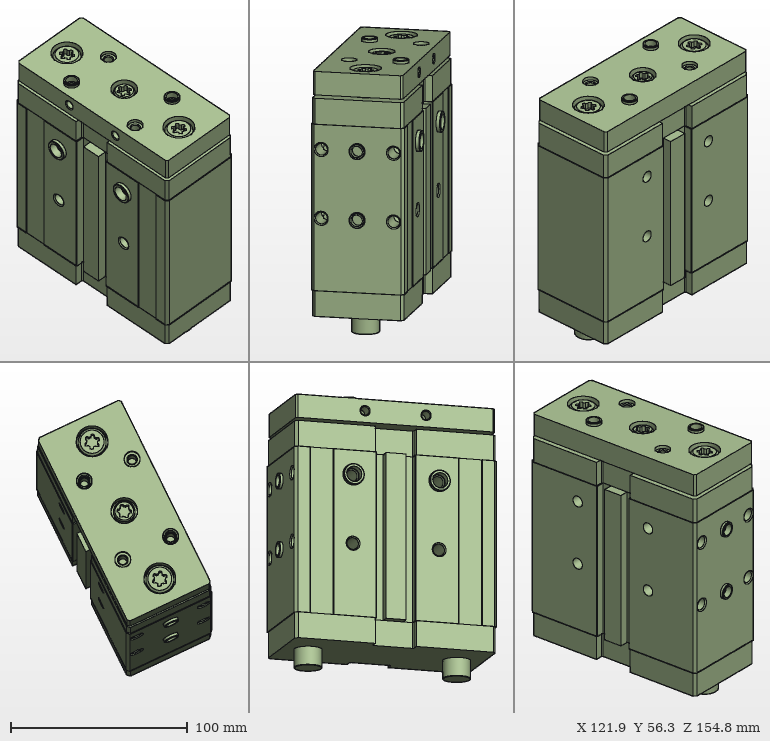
import cadquery as cq
import math


rod_overhang = 10.8
cap_height = 15.0
profile_height = 96.6
plate_gap = 1.9
plate_height = 13.6

profile_bottom = rod_overhang + cap_height
profile_top = profile_bottom + profile_height
cap_top = profile_top + cap_height
plate_bottom = cap_top + plate_gap
plate_top = plate_bottom + plate_height

profile_length = 120.0
profile_width = 54.0
profile_chamfer = 1.7
side_step = 0.5
cap_length = profile_length - 2 * side_step
cap_width = profile_width - 2 * side_step
plate_length = cap_length - 2 * side_step
plate_width = cap_width - 2 * side_step
plate_chamfer = 1.2

groove_width = 22.9
groove_depth = 5.5
profile_lip = 0.5
cap_groove_corner = 0.8
rib_width = 11.8

panel_width = 14.2
panel_depth = 0.5
panel_offset = 44.1
panel_slope = 0.5

guide_diameter = 16.0
guide_offset = 44.1
guide_y = -1.1
guide_chamfer = 0.3
piston_diameter = 12.0

screw_sink = 1.1
head_height = 5.0
counterbore_depth = screw_sink + head_height
socket_depth = 3.7
socket_core = 6.2
socket_lobe = 2.0
socket_lobes = 6
guide_counterbore = 18.0
guide_head = 16.0
guide_head_edge = 1.2
guide_socket = 8.8
piston_counterbore = 15.0
piston_head = 12.0
piston_head_edge = 0.8
piston_socket = 8.2

thread_core = 6.8
thread_mouth = 8.2
drill_point = 118
hole_pitch = 40.0
upper_row = 108.0
hole_rows = (upper_row - hole_pitch, upper_row)

cross_hole_offset = 25.5
side_hole_offset = 21.0
side_hole_depth = 15.0
air_channel_diameter = 4.3

plate_hole_x = 25.1
plate_hole_span = 30.0
plate_hole_y = -2.0
plate_core = 5.0
plate_mouth = 6.0
plate_hole_depth = 10.0
edge_hole_offset = 18.1
edge_hole_depth = 9.0

small_sleeve_diameter = 9.0
small_sleeve_bore = 6.7
small_sleeve_stand = 1.9
small_sleeve_sink = 2.0
large_sleeve_diameter = 12.0
large_sleeve_bore = 8.8
large_sleeve_stand = 2.3
large_sleeve_sink = 2.5
sleeve_chamfer = 0.3

left_face = -profile_length / 2
front_face = -profile_width / 2
groove_floor = front_face + groove_depth


def block(length, width, bottom, height, chamfer):
    """Box centred on the Z axis with chamfered upright corners."""
    box = cq.Workplane("XY", origin=(0, 0, bottom)).rect(length, width).extrude(height)
    return box.edges("|Z").chamfer(chamfer)


def cylinder(diameter, point, direction, length):
    """Cylinder that starts at a point and runs along a direction."""
    return cq.Workplane(cq.Solid.makeCylinder(diameter / 2, length, cq.Vector(*point), cq.Vector(*direction)))


def countersink(mouth, core, point, direction):
    """45-degree cone that widens a bore from its core diameter to its mouth."""
    depth = (mouth - core) / 2
    cone = cq.Solid.makeCone(mouth / 2, core / 2, depth, cq.Vector(*point), cq.Vector(*direction))
    return cq.Workplane(cone)


def drilled_hole(diameter, point, direction, depth):
    """Blind hole with a conical drill point beyond its full-diameter depth."""
    axis = cq.Vector(*direction)
    shoulder = cq.Vector(*point) + axis * depth
    point_height = diameter / 2 / math.tan(math.radians(drill_point / 2))
    tip = cq.Solid.makeCone(diameter / 2, 0, point_height, shoulder, axis)
    return cylinder(diameter, point, direction, depth).union(cq.Workplane(tip))


def groove_pair(outline, bottom, height):
    """Matching upright grooves in the front and rear faces, from the outline of the front one."""
    cutter = cq.Workplane("XY", origin=(0, 0, bottom)).polyline(outline).close().extrude(height)
    return cutter.union(cutter.mirror("XZ"))


def guide_bores(body):
    """Clear the full-length guide rods out of a body."""
    for x in (-guide_offset, guide_offset):
        body = body.cut(cylinder(guide_diameter, (x, guide_y, 0), (0, 0, 1), plate_bottom))
    return body


large_seats = [((x, front_face, upper_row), (0, 1, 0)) for x in (-cross_hole_offset, cross_hole_offset)]
side_seats = [((left_face, 0, z), (1, 0, 0)) for z in hole_rows]
plate_seats = [
    ((side * plate_hole_x, plate_hole_y + side * plate_hole_span / 2, plate_top), (0, 0, -1))
    for side in (-1, 1)
]
open_seats = [
    ((side * plate_hole_x, plate_hole_y - side * plate_hole_span / 2, plate_top), (0, 0, -1))
    for side in (-1, 1)
]


def make_profile():
    body = block(profile_length, profile_width, profile_bottom, profile_height, profile_chamfer)
    half = groove_width / 2
    groove_outline = [
        (-half, groove_floor),
        (-half, front_face + profile_lip),
        (-half - profile_lip, front_face),
        (half + profile_lip, front_face),
        (half, front_face + profile_lip),
        (half, groove_floor),
    ]
    body = body.cut(groove_pair(groove_outline, profile_bottom, profile_height))
    ribs = cq.Workplane("XY", origin=(0, 0, profile_bottom)).rect(rib_width, profile_width)
    body = body.union(ribs.extrude(profile_height))

    panel_outline = [
        (-panel_width / 2, 0),
        (panel_width / 2, 0),
        (panel_width / 2 - panel_slope, panel_depth),
        (panel_slope - panel_width / 2, panel_depth),
    ]
    for x in (-panel_offset, panel_offset):
        panel = cq.Workplane("XY", origin=(x, front_face, profile_bottom)).polyline(panel_outline).close()
        body = body.cut(panel.extrude(profile_height))
    body = guide_bores(body)

    for x in (-cross_hole_offset, cross_hole_offset):
        for z, mouth_y in zip(hole_rows, (front_face, front_face + large_sleeve_sink)):
            body = body.cut(cylinder(thread_core, (x, front_face, z), (0, 1, 0), profile_width))
            body = body.cut(countersink(thread_mouth, thread_core, (x, mouth_y, z), (0, 1, 0)))

    for z in hole_rows:
        for y in (-side_hole_offset, side_hole_offset):
            body = body.cut(drilled_hole(thread_core, (left_face, y, z), (1, 0, 0), side_hole_depth))
            body = body.cut(countersink(thread_mouth, thread_core, (left_face, y, z), (1, 0, 0)))
    channel_start = (left_face + side_hole_depth, side_hole_offset, profile_bottom)
    body = body.cut(cylinder(air_channel_diameter, channel_start, (0, 0, 1), profile_height))

    for point, direction in large_seats:
        body = body.cut(cylinder(large_sleeve_diameter, point, direction, large_sleeve_sink))
    for point, direction in side_seats:
        body = body.cut(cylinder(small_sleeve_diameter, point, direction, small_sleeve_sink))
    return body


def make_cap(bottom):
    body = block(cap_length, cap_width, bottom, cap_height, profile_chamfer)
    floor_half = groove_width / 2
    wall_half = floor_half + cap_groove_corner
    groove_outline = [
        (-floor_half, groove_floor),
        (-wall_half, groove_floor - cap_groove_corner),
        (-wall_half, front_face),
        (wall_half, front_face),
        (wall_half, groove_floor - cap_groove_corner),
        (floor_half, groove_floor),
    ]
    body = body.cut(groove_pair(groove_outline, bottom, cap_height))
    return guide_bores(body)


def make_upper_cap():
    return make_cap(profile_top).cut(cylinder(piston_diameter, (0, 0, profile_top), (0, 0, 1), cap_height))


def star_socket(x, y, size, first_angle):
    """Six-lobed screwdriver recess below a screw head face."""
    start = plate_top - screw_sink
    socket = cylinder(socket_core, (x, y, start), (0, 0, -1), socket_depth)
    reach = (size - socket_lobe) / 2
    for i in range(socket_lobes):
        angle = math.radians(first_angle + i * 360 / socket_lobes)
        lobe_point = (x + reach * math.cos(angle), y + reach * math.sin(angle), start)
        socket = socket.union(cylinder(socket_lobe, lobe_point, (0, 0, -1), socket_depth))
    return socket


def add_screw(body, x, y, counterbore, head, edge, socket, first_angle):
    """Sink a counterbore into the plate and stand a star-socket screw head in it."""
    floor_z = plate_top - counterbore_depth
    body = body.cut(cylinder(counterbore, (x, y, floor_z), (0, 0, 1), counterbore_depth))
    screw = cylinder(head, (x, y, floor_z), (0, 0, 1), head_height).faces(">Z").chamfer(edge)
    return body.union(screw).cut(star_socket(x, y, socket, first_angle))


def make_moving_unit():
    body = block(plate_length, plate_width, plate_bottom, plate_height, plate_chamfer)

    for x in (-guide_offset, guide_offset):
        rod = cylinder(guide_diameter, (x, guide_y, 0), (0, 0, 1), plate_bottom)
        body = body.union(rod.faces("<Z").chamfer(guide_chamfer))
    piston_length = plate_bottom - profile_top
    body = body.union(cylinder(piston_diameter, (0, 0, profile_top), (0, 0, 1), piston_length))

    for x in (-guide_offset, guide_offset):
        body = add_screw(body, x, guide_y, guide_counterbore, guide_head, guide_head_edge, guide_socket, 90)
    body = add_screw(body, 0, 0, piston_counterbore, piston_head, piston_head_edge, piston_socket, 0)

    for (x, y, z), direction in plate_seats + open_seats:
        thread_start = (x, y, z - small_sleeve_sink)
        body = body.cut(cylinder(small_sleeve_diameter, (x, y, z), direction, small_sleeve_sink))
        body = body.cut(cylinder(plate_core, (x, y, z), direction, plate_hole_depth))
        body = body.cut(countersink(plate_mouth, plate_core, thread_start, direction))

    for x in (-edge_hole_offset, edge_hole_offset):
        mouth = (x, -plate_width / 2, plate_bottom + plate_height / 2)
        body = body.cut(drilled_hole(plate_core, mouth, (0, 1, 0), edge_hole_depth))
        body = body.cut(countersink(plate_mouth, plate_core, mouth, (0, 1, 0)))
    return body


def make_sleeve(seat, diameter, bore, stand, sink):
    """Centring sleeve seated in its recess, with its free rim chamfered."""
    point, direction = seat
    axis = cq.Vector(*direction)
    plane = cq.Plane(origin=cq.Vector(*point) + axis * sink, normal=axis * -1)
    sleeve = cq.Workplane(plane).circle(diameter / 2).extrude(stand + sink)
    sleeve = sleeve.faces(cq.selectors.DirectionMinMaxSelector(axis * -1)).chamfer(sleeve_chamfer)
    return sleeve.cut(cylinder(bore, point, (axis * -1).toTuple(), stand)).cut(
        cylinder(bore, point, direction, sink)
    )


profile = make_profile()
lower_cap = make_cap(rod_overhang)
upper_cap = make_upper_cap()
moving_unit = make_moving_unit()
large_sleeves = [
    make_sleeve(seat, large_sleeve_diameter, large_sleeve_bore, large_sleeve_stand, large_sleeve_sink)
    for seat in large_seats
]
small_sleeves = [
    make_sleeve(seat, small_sleeve_diameter, small_sleeve_bore, small_sleeve_stand, small_sleeve_sink)
    for seat in side_seats + plate_seats
]

result = cq.Compound.makeCompound(
    [
        profile.val(),
        lower_cap.val(),
        upper_cap.val(),
        moving_unit.val(),
        *[sleeve.val() for sleeve in large_sleeves + small_sleeves],
    ]
)